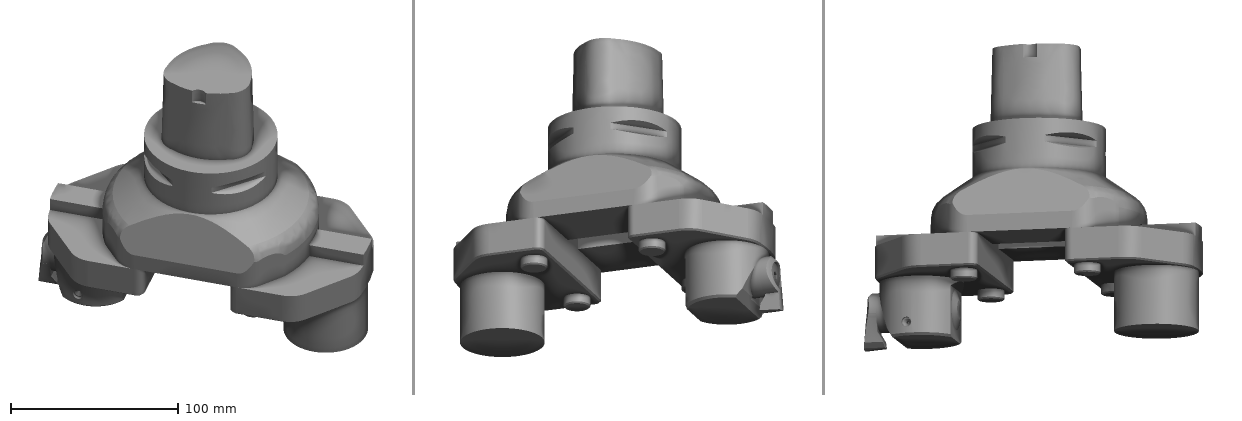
import cadquery as cq
import math


body_width = 104.0
bevel_angle = 40.0
bevel_corner_radius = 16.5
rim_corner_limit = 41.2

flange_radius = 65.0
housing_bevel_distance = 64.0
housing_rim_corner_radius = 16.5
collar_radius = 40.0
collar_top = 70.0
shoulder_top = 40.0
cone_slope = 54.9
cone_rim_fillet = 14.5
side_flat_height = 10.3
side_flat_angle = 21.0

groove_count = 4
groove_height = 57.7
groove_floor_distance = 35.5
groove_floor_width = 3.7
groove_mouth_width = 8.7

shank_top = 118.0
shank_lobe_reach = 29.9
shank_flat_reach = 25.5
shank_seam_radius = (shank_lobe_reach + shank_flat_reach) / 2
shank_seam_angle = 39.5
shank_taper = math.degrees(math.atan(1 / 40))
notch_diameter = 10.0
notch_depth = 8.2
notch_bottom_y = -21.8

slide_reach = 98.5
slide_inner_x = 26.8
slide_bevel_distance = 86.0
slide_rim_corner_radius = 17.5
slide_inner_radius = 5.0
slide_bottom_chamfer = 1.0
slide_thickness = 20.0
key_width = 17.0
key_height = 8.0
keyway_height = 8.7
post_x = 72.5
post_y = 1.95
post_radius = 25.3
post_bottom = -55.8
bolt_diameter = 16.0
bolt_x = 38.1
bolt_offset = 36.3
bolt_bottom = -25.8
bolt_chamfer = 0.8

post_chamfer = 1.5
post_back_x = -51.5
back_ramp_bottom = -24.7
post_left_x = -post_x - post_radius
relief_top = -26.0
relief_knee_x = -89.6
relief_knee_z = -49.9
relief_bottom_x = -86.0
pocket_y_min = -10.3
pocket_y_max = 4.3
pocket_floor_x = -88.8
pocket_bottom = -51.0
port_x = -76.2
port_z = -47.8
port_diameter = 6.2
port_cone_diameter = 5.0
port_bore_diameter = 1.5
port_mouth_y = -23.0
port_depth = 2.0
port_cone_depth = 1.6
port_bore_depth = 2.0

bar_z = -37.3
bar_radius = 12.0
bar_front_x = post_left_x
bar_end_x = -49.5
bar_end_chamfer_length = 2.0
bar_end_chamfer_height = 6.2
insert_face_x = -105.7
insert_tip_x = -107.5
insert_tip_y = 4.3
insert_tip_z = -60.0
insert_front_radius = 22.7
nose_radius = 16.9
nose_drop = 8.7
insert_leg_length = 16.5
screw_head_diameter = 15.2
screw_recess_diameter = 19.0
screw_face_x = -103.6
screw_seat_x = -100.0
screw_shank_diameter = 8.0
screw_end_x = -82.5
socket_width = 4.7
socket_depth = 2.0


def cylinder_x(radius, x_start, x_end):
    """Cylinder on the bar axis from x_start to x_end."""
    plane = cq.Workplane("YZ", origin=(x_start, post_y, bar_z))
    return plane.circle(radius).extrude(x_end - x_start)


def revolved_x(profile):
    """Solid of revolution about the bar axis from (x, radius) points."""
    plane = cq.Workplane("XY", origin=(0, post_y, bar_z))
    return plane.polyline(profile).close().revolve(360, (0, 0), (1, 0))


def bevelled_disc(radius, bevel_distance, rim_corner_radius, bottom, top):
    """Disc cut to the body width, with four bevels at a given distance from the axis and rounded corners."""
    half_width = body_width / 2
    normal_x = math.cos(math.radians(bevel_angle))
    normal_y = math.sin(math.radians(bevel_angle))
    tip_x = bevel_distance / normal_x
    corner_x = (bevel_distance - half_width * normal_y) / normal_x
    outline = [
        (tip_x, 0),
        (corner_x, half_width),
        (-corner_x, half_width),
        (-tip_x, 0),
        (-corner_x, -half_width),
        (corner_x, -half_width),
    ]
    height = top - bottom
    prism = cq.Workplane("XY").workplane(offset=bottom).polyline(outline).close().extrude(height)
    prism = prism.edges("|Z").edges(">Y or <Y").fillet(bevel_corner_radius)
    disc = cq.Workplane("XY").workplane(offset=bottom).circle(radius).extrude(height)
    disc = disc.rotate((0, 0, 0), (0, 0, 1), 90)
    near_x_axis = cq.selectors.BoxSelector(
        (-radius, -rim_corner_limit, bottom), (radius, rim_corner_limit, top)
    )
    return prism.intersect(disc).edges("|Z").edges(near_x_axis).fillet(rim_corner_radius)


def make_flange():
    """Conical flange below the collar, trimmed by bevels and two sloping sides."""
    rim_drop = (flange_radius - collar_radius) / math.tan(math.radians(cone_slope))
    rim_height = shoulder_top - rim_drop
    profile = [
        (0, 0),
        (flange_radius, 0),
        (flange_radius, rim_height),
        (collar_radius, shoulder_top),
        (0, shoulder_top),
    ]
    flange = cq.Workplane("XZ").polyline(profile).close().revolve(360, (0, 0), (0, 1))
    flange = flange.edges(cq.selectors.RadiusNthSelector(-1)).edges(">Z").fillet(cone_rim_fillet)
    plan = bevelled_disc(
        flange_radius, housing_bevel_distance, housing_rim_corner_radius, 0, shoulder_top
    )
    flange = flange.intersect(plan)
    half_width = body_width / 2
    top_half_width = half_width - (shoulder_top - side_flat_height) * math.tan(math.radians(side_flat_angle))
    section = [
        (-half_width, 0),
        (half_width, 0),
        (half_width, side_flat_height),
        (top_half_width, shoulder_top),
        (-top_half_width, shoulder_top),
        (-half_width, side_flat_height),
    ]
    envelope = cq.Workplane("YZ").polyline(section).close().extrude(flange_radius, both=True)
    return flange.intersect(envelope)


def make_collar():
    """Round collar with tapered gripper grooves cut as chords."""
    collar = cq.Workplane("XY").workplane(offset=shoulder_top).circle(collar_radius)
    collar = collar.extrude(collar_top - shoulder_top)
    section = [
        (groove_floor_distance, -groove_floor_width / 2),
        (collar_radius, -groove_mouth_width / 2),
        (collar_radius, groove_mouth_width / 2),
        (groove_floor_distance, groove_floor_width / 2),
    ]
    groove = cq.Workplane("XZ", origin=(0, 0, groove_height)).polyline(section).close()
    groove = groove.extrude(collar_radius, both=True)
    for index in range(groove_count):
        angle = (index + 0.5) * 360 / groove_count
        collar = collar.cut(groove.rotate((0, 0, 0), (0, 0, 1), angle))
    return collar


def polar(radius, angle):
    return (radius * math.cos(math.radians(angle)), radius * math.sin(math.radians(angle)))


def make_shank():
    """Tapered three-lobed shank: three flat arcs and three lobe arcs, with a notch at the top."""
    outline = cq.Workplane("XY").workplane(offset=collar_top)
    outline = outline.moveTo(*polar(shank_seam_radius, -90 - shank_seam_angle))
    for flat_angle in (-90, 30, 150):
        lobe_angle = flat_angle + 60
        flat_end = polar(shank_seam_radius, flat_angle + shank_seam_angle)
        lobe_end = polar(shank_seam_radius, flat_angle + 120 - shank_seam_angle)
        outline = outline.threePointArc(polar(shank_flat_reach, flat_angle), flat_end)
        outline = outline.threePointArc(polar(shank_lobe_reach, lobe_angle), lobe_end)
    shank = outline.close().extrude(shank_top - collar_top, taper=shank_taper)
    notch_y = notch_bottom_y - notch_diameter / 2
    notch = cq.Workplane("XY", origin=(0, notch_y, shank_top)).circle(notch_diameter / 2)
    return shank.cut(notch.extrude(-notch_depth))


def make_housing():
    housing = make_flange().union(make_collar()).union(make_shank())
    keyway = cq.Workplane("XY").rect(2 * slide_reach, key_width).extrude(keyway_height)
    return housing.cut(keyway)


def make_slide():
    """Slide on the -X side without its post: plate, key and two bolt heads."""
    key_block = cq.Workplane("XY").box(
        slide_reach - slide_inner_x, key_width, key_height, centered=(False, True, False)
    ).translate((-slide_reach, 0, 0))
    plate_block = cq.Workplane("XY").box(
        slide_reach - slide_inner_x, body_width, slide_thickness, centered=(False, True, False)
    ).translate((-slide_reach, 0, -slide_thickness))
    plate = bevelled_disc(slide_reach, slide_bevel_distance, slide_rim_corner_radius, -slide_thickness, 0)
    plate = plate.intersect(plate_block)
    plate = plate.edges("|Z").edges(">X").fillet(slide_inner_radius)
    plate = plate.faces("<Z").edges().chamfer(slide_bottom_chamfer)
    key = key_block.intersect(cq.Workplane("XY").circle(slide_reach).extrude(key_height))
    bolts = cq.Workplane("XY", origin=(-bolt_x, post_y / 2, -slide_thickness))
    bolts = bolts.pushPoints([(0, -bolt_offset), (0, bolt_offset)]).circle(bolt_diameter / 2)
    bolts = bolts.extrude(bolt_bottom + slide_thickness).faces("<Z").edges().chamfer(bolt_chamfer)
    return plate.union(key).union(bolts)


def make_post():
    """Round post below the plate, with its axis offset from the key line."""
    post = cq.Workplane("XY", origin=(-post_x, post_y, -slide_thickness)).circle(post_radius)
    return post.extrude(post_bottom + slide_thickness)


def make_weight_slide():
    """Slide on the +X side with a plain post: the -X slide turned half a turn."""
    slide = make_slide().union(make_post())
    return slide.rotate((0, 0, 0), (0, 0, 1), 180)


def make_tool_slide():
    """Slide on the -X side, with its post cut back and bored for the bar."""
    post = make_post().faces("<Z").edges().chamfer(post_chamfer)

    back = cq.Workplane("XZ").polyline([
        (post_back_x - back_ramp_bottom - slide_thickness, -slide_thickness),
        (post_back_x, back_ramp_bottom),
        (post_back_x, post_bottom),
        (0, post_bottom),
        (0, -slide_thickness),
    ]).close().extrude(body_width, both=True)
    relief = cq.Workplane("XZ").polyline([
        (post_left_x, relief_top),
        (relief_knee_x, relief_knee_z),
        (relief_bottom_x, post_bottom),
        (post_left_x, post_bottom),
    ]).close().extrude(body_width, both=True)
    pocket = cq.Workplane("XY").box(
        pocket_floor_x - post_left_x, pocket_y_max - pocket_y_min, bar_z - pocket_bottom, centered=False
    ).translate((post_left_x, pocket_y_min, pocket_bottom))
    bar_hole = cylinder_x(bar_radius, 2 * post_left_x, 0)
    post = post.cut(back).cut(relief).cut(pocket).cut(bar_hole).cut(make_port())
    return make_slide().union(post)


def make_port():
    """Side port: a short counterbore, a cone and a fine bore along Y."""
    floor_y = port_mouth_y + port_depth
    cone_y = floor_y + port_cone_depth
    outside_y = port_mouth_y - port_depth
    profile = [
        (0, outside_y),
        (port_diameter / 2, outside_y),
        (port_diameter / 2, floor_y),
        (port_cone_diameter / 2, floor_y),
        (port_bore_diameter / 2, cone_y),
        (port_bore_diameter / 2, cone_y + port_bore_depth),
        (0, cone_y + port_bore_depth),
    ]
    plane = cq.Workplane("XY", origin=(port_x, 0, port_z))
    return plane.polyline(profile).close().revolve(360, (0, 0), (0, 1))


def make_screw_body():
    head = cylinder_x(screw_head_diameter / 2, screw_face_x, screw_seat_x)
    return head.union(cylinder_x(screw_shank_diameter / 2, screw_seat_x, screw_end_x))


def make_screw():
    """Insert screw with a hexagon socket that has corners at its top and bottom."""
    socket = cq.Workplane("YZ", origin=(screw_face_x, post_y, bar_z)).transformed(rotate=(0, 0, 90))
    socket = socket.polygon(6, socket_width / math.cos(math.pi / 6)).extrude(socket_depth)
    return make_screw_body().cut(socket)


def make_bar():
    """Round bar through the post, with a chamfered rear end and a hole for the screw."""
    bar = revolved_x([
        (bar_front_x, 0),
        (bar_front_x, bar_radius),
        (bar_end_x - bar_end_chamfer_length, bar_radius),
        (bar_end_x, bar_radius - bar_end_chamfer_height),
        (bar_end_x, 0),
    ])
    return bar.cut(make_screw_body())


def make_insert_blank():
    """Round head and cutting leg, both running straight along X."""
    head = cylinder_x(bar_radius, insert_tip_x, bar_front_x)
    front_outline = [
        (insert_tip_y, bar_z),
        (insert_tip_y, insert_tip_z),
        (2.0, insert_tip_z),
        (-1.6, -59.0),
        (-5.0, -56.0),
        (-9.9, -39.2),
        (post_y, bar_z),
    ]
    leg = cq.Workplane("YZ", origin=(insert_tip_x, 0, 0)).polyline(front_outline).close()
    return head.union(leg.extrude(insert_leg_length))


def make_insert():
    """Cutting insert: the blank trimmed to its side shape, nose cone and rounded front face."""
    head_top = bar_z + bar_radius
    side_outline = [
        (bar_front_x, head_top),
        (insert_tip_x, head_top),
        (insert_tip_x, insert_tip_z),
        (-94.4, -59.0),
        (-95.0, -54.8),
        (bar_front_x, -50.0),
    ]
    side = cq.Workplane("XZ").polyline(side_outline).close().extrude(body_width, both=True)

    nose_start = nose_radius + insert_tip_x - insert_face_x
    nose_length = insert_leg_length
    nose = cq.Workplane("XY", origin=(insert_tip_x, post_y, bar_z - nose_drop)).polyline([
        (0, 0),
        (0, nose_start),
        (nose_length, nose_start + nose_length),
        (nose_length, 0),
    ]).close().revolve(360, (0, 0), (1, 0))

    front_lean = (insert_face_x - insert_tip_x, 0, bar_z - insert_tip_z)
    front_axis = cq.Plane(
        origin=(insert_tip_x + insert_front_radius, post_y, insert_tip_z), xDir=(0, 1, 0), normal=front_lean
    )
    front = cq.Workplane(front_axis).circle(insert_front_radius).extrude(body_width, both=True)

    recess = revolved_x([
        (insert_tip_x, 0),
        (insert_tip_x, screw_recess_diameter / 2),
        (screw_face_x, screw_head_diameter / 2),
        (screw_face_x, 0),
    ])
    insert = make_insert_blank().intersect(side).intersect(nose).intersect(front)
    return insert.cut(recess).cut(make_screw_body())


result = cq.Compound.makeCompound([
    make_housing().val(),
    make_tool_slide().val(),
    make_weight_slide().val(),
    make_bar().val(),
    make_insert().val(),
    make_screw().val(),
])